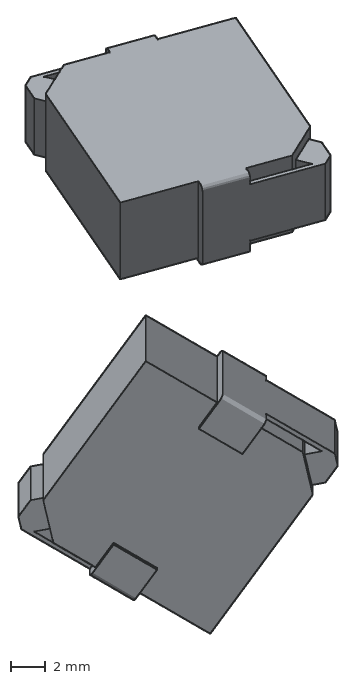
import cadquery as cq

length = 13.9
width = 13.5
height = 5.9

body_side = 12.72
foot_thickness = 0.22
body_chamfer = 2.0

band_width = 2.97
band_depth = (length - body_side) / 2
band_radius = 0.32
foot_length = 2.49

arm_thickness = 0.28
arm_bottom = 0.97
arm_height = 4.17
tip_chamfer = 0.58
tip_end = 1.86
notch_height = 1.28


def make_body():
    block = (
        cq.Workplane("XY")
        .workplane(offset=foot_thickness)
        .rect(body_side, body_side)
        .extrude(height - foot_thickness)
    )
    low_corner = cq.selectors.DirectionMinMaxSelector(cq.Vector(1, 1, 0), False)
    high_corner = cq.selectors.DirectionMinMaxSelector(cq.Vector(1, 1, 0), True)
    cut_corners = block.edges(low_corner + high_corner)
    return cut_corners.chamfer(body_chamfer)


def make_band():
    band = cq.Workplane("XY").box(band_depth, band_width, height, centered=(False, True, False))
    foot = cq.Workplane("XY").box(foot_length, band_width, foot_thickness, centered=(False, True, False))
    clip = band.union(foot).edges("|Y and <X").edges("<Z or >Z").fillet(band_radius)
    return clip.translate((-length / 2, 0, 0))


def make_arm():
    corner_sum = band_depth + (width - body_side) / 2 + body_chamfer
    notch_rise = notch_height - arm_thickness
    inner_x = (corner_sum - notch_rise) / 2
    outer_x = (corner_sum + tip_end) / 2
    outline = [
        (0, width / 2),
        (0, tip_chamfer),
        (tip_chamfer, 0),
        (tip_end, 0),
        (outer_x, corner_sum - outer_x),
        (inner_x, corner_sum - inner_x),
        (arm_thickness, notch_height),
        (arm_thickness, width / 2),
    ]
    arm = cq.Workplane("XY").polyline(outline).close().extrude(arm_height)
    return arm.translate((-length / 2, -width / 2, arm_bottom))


terminal = make_band().union(make_arm())
opposite_terminal = terminal.rotate((0, 0, 0), (0, 0, 1), 180)

result = make_body().union(terminal).union(opposite_terminal)